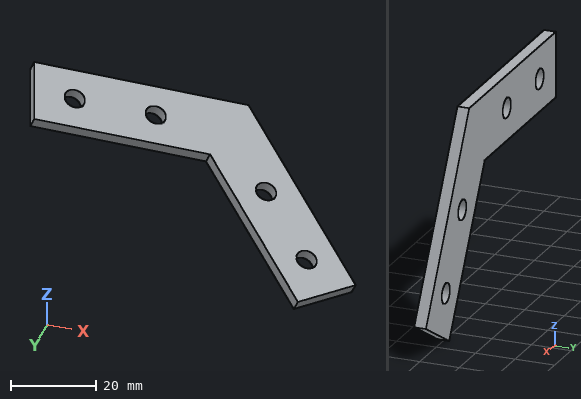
import cadquery as cq
import math

overall_length = 79.5
arm_width = 16.5
thickness = 3.0
bend_angle = 60.0
hole_diameter = 5.0
end_to_hole = 10.0
hole_spacing = 20.0

bend = math.radians(bend_angle)

outer_edge = overall_length / (1 + math.cos(bend))
inner_edge = outer_edge - arm_width * math.tan(bend / 2)


def level_arm_point(along, depth):
    """Point on the level arm: distance from its free end, depth below its outer edge."""
    return (along, -depth)


def sloped_arm_point(along, depth):
    """Point on the sloped arm: distance from its free end, depth inside its outer edge."""
    from_corner = outer_edge - along
    x = outer_edge + from_corner * math.cos(bend) - depth * math.sin(bend)
    z = -from_corner * math.sin(bend) - depth * math.cos(bend)
    return (x, z)


outline = [
    level_arm_point(0, 0),
    level_arm_point(outer_edge, 0),
    sloped_arm_point(0, 0),
    sloped_arm_point(0, arm_width),
    level_arm_point(inner_edge, arm_width),
    level_arm_point(0, arm_width),
]
plate = cq.Workplane("XZ").polyline(outline).close().extrude(thickness)

hole_centers = [
    arm_point(along, arm_width / 2)
    for arm_point in (level_arm_point, sloped_arm_point)
    for along in (end_to_hole, end_to_hole + hole_spacing)
]
holes = (
    cq.Workplane("XZ")
    .pushPoints(hole_centers)
    .circle(hole_diameter / 2)
    .extrude(thickness)
)

result = plate.cut(holes)